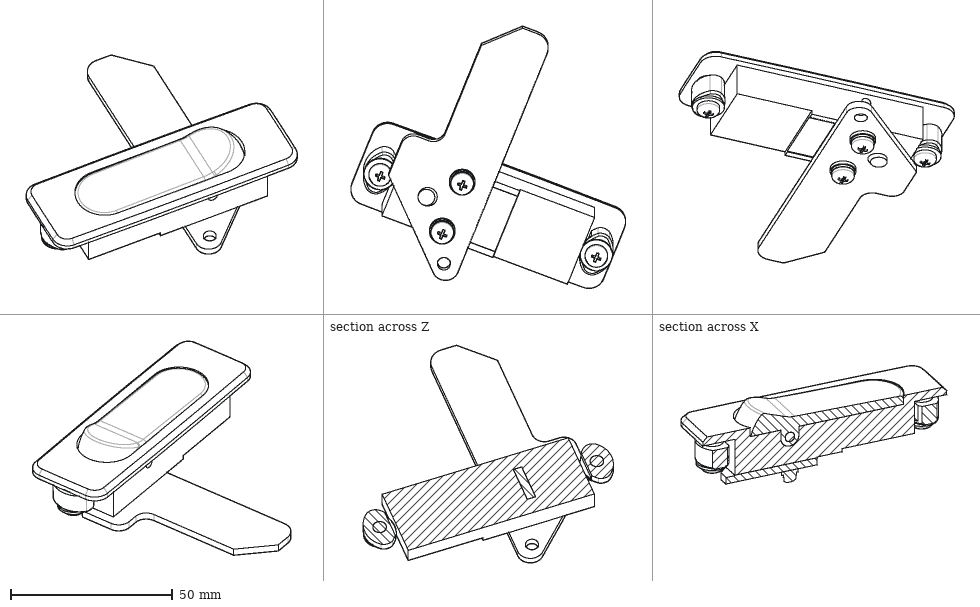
import cadquery as cq
import math


bezel_length = 84.0
bezel_width = 28.1
bezel_thickness = 3.0
bezel_chamfer = 1.5
bezel_corner_radius = 5.0
side_bow = 0.3
end_bow = 0.1

box_length = 61.8
box_width = 23.2
box_depth = 12.4
step_height = 1.35
step_y = -6.1
relief_width = 19.2
relief_depth = 0.3

post_y = 36.0
post_diameter = 7.0
post_length = 2.15

pin_y = 12.0
pin_z = -3.1
pin_diameter = 3.0
handle_width = 18.5
handle_tip_reach = 15.85
handle_side_reach = 7.1
opening_top_y = 27.65
opening_bottom_y = -28.95
knee_y = 12.0
knee_z = 3.8
low_end_z = 3.0
tip_slope = 0.361
knee_radius = 9.5
handle_edge_radius = 1.0
hub_width = 12.0
hub_radius = 3.0
profile_top_y = 30.0
grip_blank_height = 6.0

plate_thickness = 2.4
plate_left_x = -61.52
plate_right_x = 23.48
plate_bottom_y = 2.5
arm_top_y = 22.5
tab_top_y = 34.0
tab_left_x = -17.0
tab_radius = 4.0
arm_chamfer = 9.9
arm_corner_radius = 5.0
ear_radius = 4.2
ear_hole_diameter = 4.0
ear_hole_x = 18.35
ear_hole_y = 7.6
stop_y = 20.2
stop_diameter = 6.0
stop_bottom_diameter = 5.2
stop_height = 1.1

clamp_length = 14.0
clamp_corner_y = 1.9
clamp_half_depth = 5.0
clamp_end_radius = 3.5
clamp_height = 6.75
clamp_chamfer = 0.7
clamp_lip_height = 1.35

screw_diameter = 4.0
shank_length = 8.0
head_diameter = 7.0
head_rim = 1.1
head_dome = 1.6
cross_width = 0.7
cross_length = 3.0
cross_depth = 1.0
clamp_washers = [(10.0, 0.8)]
plate_washers = [(8.0, 1.1), (7.2, 0.8)]
plate_screw_x = 8.5

DOWN = cq.Vector(0, 0, -1)
plate_bottom_z = -box_depth - plate_thickness
clamp_bottom_z = -post_length - clamp_height
handle_radius = handle_width / 2


def cylinder(x, y, z_bottom, diameter, height):
    return cq.Workplane("XY", origin=(x, y, z_bottom)).circle(diameter / 2).extrude(height)


def hinge_cylinder(diameter, length):
    """Cylinder on the hinge axis, centred on X = 0."""
    return cq.Workplane("YZ", origin=(0, pin_y, pin_z)).circle(diameter / 2).extrude(length / 2, both=True)


def hub_block():
    """Lug under the handle, rounded about the hinge axis."""
    web = cq.Workplane("XY", origin=(0, pin_y, pin_z)).box(
        hub_width, 2 * hub_radius, -pin_z, centered=(True, True, False)
    )
    return web.union(hinge_cylinder(2 * hub_radius, hub_width))


def opening_slot():
    """Round-ended slot through the bezel that takes the handle."""
    length = opening_top_y - opening_bottom_y
    middle_y = (opening_top_y + opening_bottom_y) / 2
    slot = cq.Workplane("XY", origin=(0, middle_y, 0)).slot2D(length, handle_width, 90)
    return slot.extrude(bezel_thickness)


def make_bezel():
    half_width = bezel_width / 2
    half_length = bezel_length / 2
    corner_x = half_width - side_bow
    corner_y = half_length - end_bow
    return (
        cq.Workplane("XY")
        .moveTo(-corner_x, -corner_y)
        .threePointArc((0, -half_length), (corner_x, -corner_y))
        .threePointArc((half_width, 0), (corner_x, corner_y))
        .threePointArc((0, half_length), (-corner_x, corner_y))
        .threePointArc((-half_width, 0), (-corner_x, -corner_y))
        .close()
        .extrude(bezel_thickness)
        .edges("|Z")
        .fillet(bezel_corner_radius)
        .faces(">Z")
        .edges()
        .chamfer(bezel_chamfer)
    )


def make_housing():
    half_length = box_length / 2
    box = (
        cq.Workplane("YZ")
        .moveTo(-half_length, 0)
        .lineTo(half_length, 0)
        .lineTo(half_length, -box_depth)
        .lineTo(step_y, -box_depth)
        .lineTo(step_y, step_height - box_depth)
        .lineTo(-half_length, step_height - box_depth)
        .close()
        .extrude(box_width / 2, both=True)
    )
    relief = cq.Workplane("XY", origin=(0, step_y, -box_depth)).box(
        relief_width, plate_bottom_y - step_y, relief_depth, centered=(True, False, False)
    )
    body = make_bezel().union(box).cut(relief)
    for side in (-1, 1):
        body = body.union(cylinder(0, side * post_y, -post_length, post_diameter, post_length))
    body = body.cut(opening_slot()).cut(hub_block()).cut(hinge_cylinder(pin_diameter, box_width))
    for side in (-1, 1):
        body = body.cut(cylinder(0, side * post_y, clamp_bottom_z, screw_diameter, shank_length))
        body = body.cut(cylinder(side * plate_screw_x, pin_y, plate_bottom_z, screw_diameter, shank_length))
    return body


def is_top_outline(edge):
    """True for an edge around the top of the handle, but not for its creases, sides or underside."""
    flatness = 0.01
    box = edge.BoundingBox()
    is_crease = box.ylen < flatness
    return box.zmin > bezel_thickness - handle_edge_radius and not is_crease


def make_handle():
    tip = (
        cq.Workplane("XY", origin=(0, pin_y, pin_z))
        .moveTo(-handle_radius, 0)
        .lineTo(-handle_radius, handle_side_reach)
        .threePointArc((0, handle_tip_reach), (handle_radius, handle_side_reach))
        .lineTo(handle_radius, 0)
        .close()
        .revolve(90, (0, 0), (1, 0))
    )
    grip_end_y = opening_bottom_y + handle_radius
    grip = (
        cq.Workplane("XY")
        .moveTo(-handle_radius, pin_y)
        .lineTo(-handle_radius, grip_end_y)
        .threePointArc((0, opening_bottom_y), (handle_radius, grip_end_y))
        .lineTo(handle_radius, pin_y)
        .close()
        .extrude(grip_blank_height)
    )
    side_profile = (
        cq.Workplane("YZ")
        .moveTo(opening_bottom_y, 0)
        .lineTo(profile_top_y, 0)
        .lineTo(profile_top_y, knee_z + tip_slope * (profile_top_y - knee_y))
        .lineTo(knee_y, knee_z)
        .lineTo(opening_bottom_y, low_end_z)
        .close()
        .extrude(handle_radius, both=True)
        .edges(cq.selectors.NearestToPointSelector((0, knee_y, knee_z)))
        .fillet(knee_radius)
    )
    lever = tip.union(grip).intersect(side_profile).clean()
    lever = lever.edges().filter(is_top_outline).fillet(handle_edge_radius)
    return lever.union(hub_block()).cut(hinge_cylinder(pin_diameter, box_width))


def make_plate():
    ear_x = plate_right_x - ear_radius
    ear_y = plate_bottom_y + ear_radius
    ear_offset = ear_radius * math.sqrt(0.5)
    slope_x = ear_x + ear_offset
    slope_y = ear_y + ear_offset
    outline = (
        cq.Workplane("XY", origin=(0, 0, plate_bottom_z))
        .moveTo(plate_left_x, plate_bottom_y)
        .lineTo(ear_x, plate_bottom_y)
        .threePointArc(
            (ear_x + ear_radius * math.cos(math.pi / 8), ear_y - ear_radius * math.sin(math.pi / 8)),
            (slope_x, slope_y),
        )
        .lineTo(slope_x - (tab_top_y - slope_y), tab_top_y)
        .lineTo(tab_left_x, tab_top_y)
        .lineTo(tab_left_x, arm_top_y)
        .lineTo(plate_left_x + arm_chamfer, arm_top_y)
        .lineTo(plate_left_x, arm_top_y - arm_chamfer)
        .close()
        .extrude(plate_thickness)
    )
    for corner, radius in (
        ((plate_left_x, plate_bottom_y), arm_corner_radius),
        ((tab_left_x, tab_top_y), tab_radius),
        ((tab_left_x, arm_top_y), tab_radius),
    ):
        point = (*corner, plate_bottom_z + plate_thickness / 2)
        outline = outline.edges(cq.selectors.NearestToPointSelector(point)).fillet(radius)

    stop_bottom_y = stop_y + (stop_diameter - stop_bottom_diameter) / 2
    stop_top = cq.Wire.makeCircle(stop_diameter / 2, cq.Vector(0, stop_y, plate_bottom_z), DOWN)
    stop_centre = cq.Vector(0, stop_bottom_y, plate_bottom_z - stop_height)
    stop_bottom = cq.Wire.makeCircle(stop_bottom_diameter / 2, stop_centre, DOWN)
    stop = cq.Workplane(cq.Solid.makeLoft([stop_top, stop_bottom]))
    plate = outline.union(stop)
    plate = plate.cut(cylinder(ear_hole_x, ear_hole_y, plate_bottom_z, ear_hole_diameter, plate_thickness))
    for side in (-1, 1):
        plate = plate.cut(cylinder(side * plate_screw_x, pin_y, plate_bottom_z, screw_diameter, plate_thickness))
    return plate


def make_clamp():
    """Clamp on the +Y post; its -Y face is cut back beside the box, leaving a lip at the bottom."""
    half_length = clamp_length / 2
    corner_x = half_length - clamp_end_radius + math.sqrt(clamp_end_radius**2 - clamp_corner_y**2)
    clamp = (
        cq.Workplane("XY", origin=(0, post_y, clamp_bottom_z))
        .moveTo(-corner_x, clamp_corner_y)
        .threePointArc((0, clamp_half_depth), (corner_x, clamp_corner_y))
        .threePointArc((half_length, 0), (corner_x, -clamp_corner_y))
        .threePointArc((0, -clamp_half_depth), (-corner_x, -clamp_corner_y))
        .threePointArc((-half_length, 0), (-corner_x, clamp_corner_y))
        .close()
        .extrude(clamp_height)
    )
    clamp = clamp.faces("<Z").edges().chamfer(clamp_chamfer)
    cutback = cq.Workplane("XY", origin=(0, post_y - clamp_half_depth, clamp_bottom_z + clamp_lip_height)).box(
        clamp_length, clamp_half_depth - clamp_end_radius, clamp_height, centered=(True, False, False)
    )
    return clamp.cut(cutback).cut(cylinder(0, post_y, clamp_bottom_z, screw_diameter, clamp_height))


def make_screw(x, y, seat_z, washers):
    """Pan-head screw pointing up, with its captive washers below the seat."""
    screw = cylinder(x, y, seat_z, screw_diameter, shank_length)
    z = seat_z
    for diameter, thickness in washers:
        z -= thickness
        screw = screw.union(cylinder(x, y, z, diameter, thickness))
    head_radius = head_diameter / 2
    head = (
        cq.Workplane("XZ", origin=(x, y, z))
        .lineTo(head_radius, 0)
        .lineTo(head_radius, -head_rim)
        .ellipseArc(head_radius, head_dome, 270, 360, sense=-1)
        .close()
        .revolve(360, (0, 0), (0, 1))
    )
    head_bottom = cq.Workplane("XY", origin=(x, y, z - head_rim - head_dome))
    for slot_x, slot_y in ((cross_length, cross_width), (cross_width, cross_length)):
        head = head.cut(head_bottom.rect(slot_x, slot_y).extrude(cross_depth))
    return screw.union(head)


housing = make_housing()
handle = make_handle()
hinge_pin = hinge_cylinder(pin_diameter, box_width)
cam_plate = make_plate()

clamp = make_clamp()
clamps = [clamp, clamp.mirror("XZ")]
clamp_screws = [make_screw(0, side * post_y, clamp_bottom_z, clamp_washers) for side in (1, -1)]
plate_screws = [make_screw(side * plate_screw_x, pin_y, plate_bottom_z, plate_washers) for side in (1, -1)]

bodies = [housing, handle, hinge_pin, cam_plate, *clamps, *clamp_screws, *plate_screws]
result = cq.Compound.makeCompound([body.val() for body in bodies])